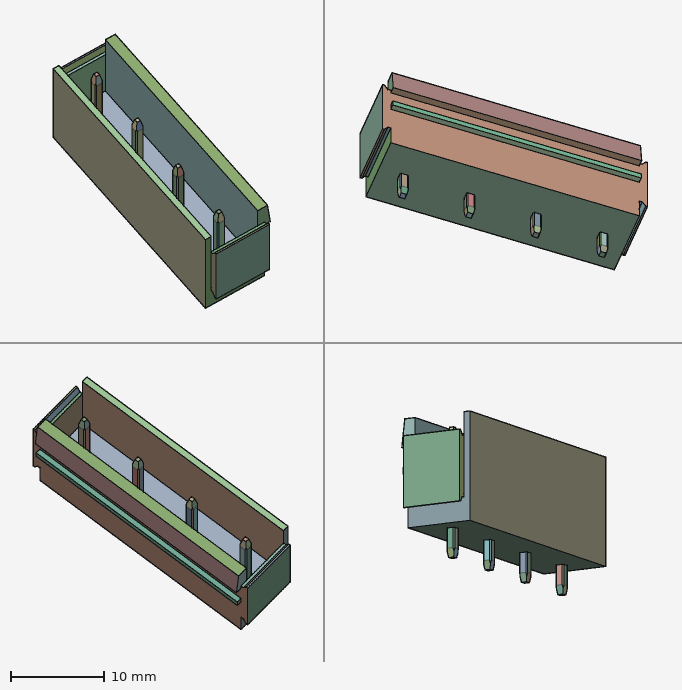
import cadquery as cq


overall_length = 30.28
body_length = 28.4
body_height = 12.0
body_depth = 7.75
front_wall = 0.75
back_wall = 0.9
floor_thickness = 3.03

overall_depth = 8.5
latch_height = 3.12
latch_top_y = 8.15
rib_height = 0.73
rib_top_z = 6.7
rib_reach = 0.6

plate_height = 7.87
plate_edge = 0.2
neck_height = 6.72
neck_length = 0.33
plate_wall_lap = 0.03

pin_count = 4
pin_pitch = 7.6
pin_row_x = -0.05
pin_y = 3.8
pin_width = 1.0
pin_corner_chamfer = 0.15
pin_tail = 3.2
pin_top_z = 11.08
tail_taper = 1.0
tail_tip_width = 0.65
head_taper = 1.27
head_tip_width = 0.45

half_body = body_length / 2
pin_length = pin_tail + pin_top_z
pin_positions = [
    (pin_row_x + (i - (pin_count - 1) / 2) * pin_pitch, pin_y) for i in range(pin_count)
]


def extrude_along_body(points):
    """Extrude a (Y, Z) outline over the full body length."""
    return cq.Workplane("YZ").workplane(offset=-half_body).polyline(points).close().extrude(body_length)


def make_channel():
    """U-shaped channel, open at the top and at both ends, with the latch lip on its back wall."""
    back_inner_y = body_depth - back_wall
    latch_bottom_z = body_height - latch_height
    return extrude_along_body([
        (0, 0),
        (body_depth, 0),
        (body_depth, latch_bottom_z),
        (overall_depth, latch_bottom_z),
        (latch_top_y, body_height),
        (back_inner_y, body_height),
        (back_inner_y, floor_thickness),
        (front_wall, floor_thickness),
        (front_wall, body_height),
        (0, body_height),
    ])


def make_rib():
    """Rectangular rib along the outside of the back wall."""
    rib_bottom_z = rib_top_z - rib_height
    return extrude_along_body([
        (body_depth, rib_bottom_z),
        (body_depth + rib_reach, rib_bottom_z),
        (body_depth + rib_reach, rib_top_z),
        (body_depth, rib_top_z),
    ])


def make_end_plate(side):
    """Dovetail plate on one end of the channel; side is -1 or +1 along X."""
    middle_z = body_height / 2
    inner_x = side * half_body
    neck_x = side * (half_body + neck_length)
    edge_x = side * (overall_length / 2 - plate_edge)
    outer_x = side * overall_length / 2
    upper = [
        (inner_x, middle_z + neck_height / 2),
        (neck_x, middle_z + neck_height / 2),
        (edge_x, middle_z + plate_height / 2),
        (outer_x, middle_z + plate_height / 2),
    ]
    lower = [(x, 2 * middle_z - z) for x, z in reversed(upper)]
    front_y = front_wall - plate_wall_lap
    plate = cq.Workplane("XZ").polyline(upper + lower).close().extrude(-(body_depth - front_y))
    return plate.translate((0, front_y, 0))


def make_pin_shank():
    """Square bar with chamfered corners, standing on the XY plane."""
    bar = cq.Workplane("XY").rect(pin_width, pin_width).extrude(pin_length)
    return bar.edges("|Z").chamfer(pin_corner_chamfer)


def make_pin(x, y):
    """Chamfered bar narrowed to a square pyramid stump at each end."""
    tail_tip = (
        cq.Workplane("XY").rect(tail_tip_width, tail_tip_width)
        .workplane(offset=tail_taper).rect(pin_width, pin_width).loft(ruled=True)
    )
    straight_length = pin_length - tail_taper - head_taper
    middle = (
        cq.Workplane("XY", origin=(0, 0, tail_taper))
        .rect(pin_width, pin_width).extrude(straight_length)
    )
    head_tip = (
        cq.Workplane("XY", origin=(0, 0, pin_length - head_taper)).rect(pin_width, pin_width)
        .workplane(offset=head_taper).rect(head_tip_width, head_tip_width).loft(ruled=True)
    )
    envelope = tail_tip.union(middle).union(head_tip)
    return make_pin_shank().intersect(envelope).translate((x, y, -pin_tail))


def make_housing():
    """Channel with rib and end plates, pierced by a fitting hole for every pin."""
    housing = make_channel().union(make_rib())
    for side in (-1, 1):
        housing = housing.union(make_end_plate(side))
    for x, y in pin_positions:
        housing = housing.cut(make_pin_shank().translate((x, y, -pin_tail)))
    return housing


housing = make_housing()
pins = [make_pin(x, y) for x, y in pin_positions]

result = cq.Compound.makeCompound([housing.val(), *[pin.val() for pin in pins]])